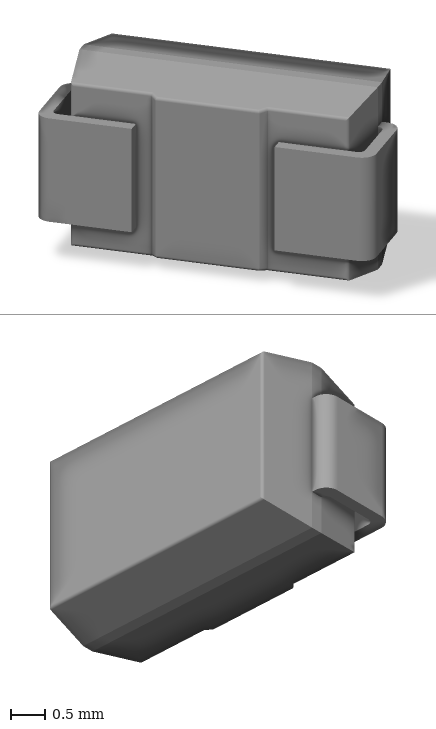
import cadquery as cq


OVERALL_LENGTH = 5.2
OVERALL_HEIGHT = 2.3

LEAD_THICKNESS = 0.2
LEAD_WIDTH = 1.645
LEAD_OUTER_RADIUS = 0.225
LEAD_INNER_RADIUS = 0.1
FOOT_LENGTH = 1.5
STRAP_TOP = 1.4
STRAP_BOTTOM = STRAP_TOP - LEAD_THICKNESS
FOOT_GAP = OVERALL_LENGTH - 2 * FOOT_LENGTH

HOUSING_LENGTH = 4.6
HOUSING_WIDTH = 2.9
DRAFT_ANGLE = 10.0
EDGE_RADIUS = 0.05

PAD_LENGTH = 1.6
PAD_RISE = 0.1
PAD_BOTTOM = LEAD_THICKNESS
END_BOTTOM = PAD_BOTTOM + PAD_RISE
PAD_ROOT_LENGTH = PAD_LENGTH + 2 * PAD_RISE

TOLERANCE = 0.0005


def housing_slab(base, direction, depth, draft=0.0):
    """Slab of the full housing outline, grown from height base along +Y (1) or -Y (-1)."""
    base_plane = cq.Plane(origin=(0, base, 0), xDir=(1, 0, 0), normal=(0, direction, 0))
    return (
        cq.Workplane(base_plane)
        .rect(HOUSING_LENGTH, HOUSING_WIDTH)
        .extrude(depth, taper=draft)
    )


def upper_half():
    """Drafted upper half with its rim rounded."""
    drafted = housing_slab(STRAP_TOP, 1, OVERALL_HEIGHT - STRAP_TOP, DRAFT_ANGLE)
    return drafted.faces(">Y").edges().fillet(EDGE_RADIUS)


def end_relief(side):
    """Cutter that lifts the underside at one end (side is 1 or -1), leaving the pad slope."""
    return (
        cq.Workplane("XY")
        .moveTo(side * PAD_LENGTH / 2, PAD_BOTTOM)
        .lineTo(side * PAD_ROOT_LENGTH / 2, END_BOTTOM)
        .lineTo(side * HOUSING_LENGTH / 2, END_BOTTOM)
        .lineTo(side * HOUSING_LENGTH / 2, PAD_BOTTOM)
        .close()
        .extrude(HOUSING_WIDTH / 2, both=True)
    )


def is_underside_rim(edge):
    """True for the outer edges of the underside, False for those that cross it at the pad."""
    center = edge.Center()
    on_underside = center.y < END_BOTTOM + TOLERANCE
    crosses_at_pad = abs(center.z) < TOLERANCE and abs(center.x) < PAD_ROOT_LENGTH / 2 + TOLERANCE
    return on_underside and not crosses_at_pad


def lower_half():
    """Drafted lower half with the middle pad and a rounded rim that follows its slopes."""
    stepped = housing_slab(STRAP_BOTTOM, -1, STRAP_BOTTOM - PAD_BOTTOM, DRAFT_ANGLE)
    for side in (-1, 1):
        stepped = stepped.cut(end_relief(side))
    rim = [edge for edge in stepped.edges().vals() if is_underside_rim(edge)]
    return stepped.newObject(rim).fillet(EDGE_RADIUS)


def make_housing():
    """Both halves joined by a straight middle band, with a slot for the strap."""
    band = housing_slab(STRAP_BOTTOM, 1, LEAD_THICKNESS)
    strap_height = (STRAP_BOTTOM + STRAP_TOP) / 2
    strap_slot = (
        cq.Workplane("XY")
        .box(HOUSING_LENGTH, LEAD_THICKNESS, LEAD_WIDTH)
        .translate((0, strap_height, 0))
    )
    return lower_half().union(band).union(upper_half()).cut(strap_slot)


def rounded_block(length, bottom, top, radius):
    """Block as wide as the lead, from height bottom to top, with rounded Z edges."""
    return (
        cq.Workplane("XY")
        .box(length, top - bottom, LEAD_WIDTH)
        .translate((0, (bottom + top) / 2, 0))
        .edges("|Z")
        .fillet(radius)
    )


def make_lead():
    """Rounded rectangular loop, opened between the two feet."""
    outer = rounded_block(OVERALL_LENGTH, 0, STRAP_TOP, LEAD_OUTER_RADIUS)
    inner_length = OVERALL_LENGTH - 2 * LEAD_THICKNESS
    inner = rounded_block(inner_length, LEAD_THICKNESS, STRAP_BOTTOM, LEAD_INNER_RADIUS)
    foot_opening = cq.Workplane("XY").box(FOOT_GAP, 2 * LEAD_THICKNESS, LEAD_WIDTH)
    return outer.cut(inner).cut(foot_opening)


housing = make_housing()
lead = make_lead()
result = cq.Compound.makeCompound([housing.solids().val(), lead.solids().val()])